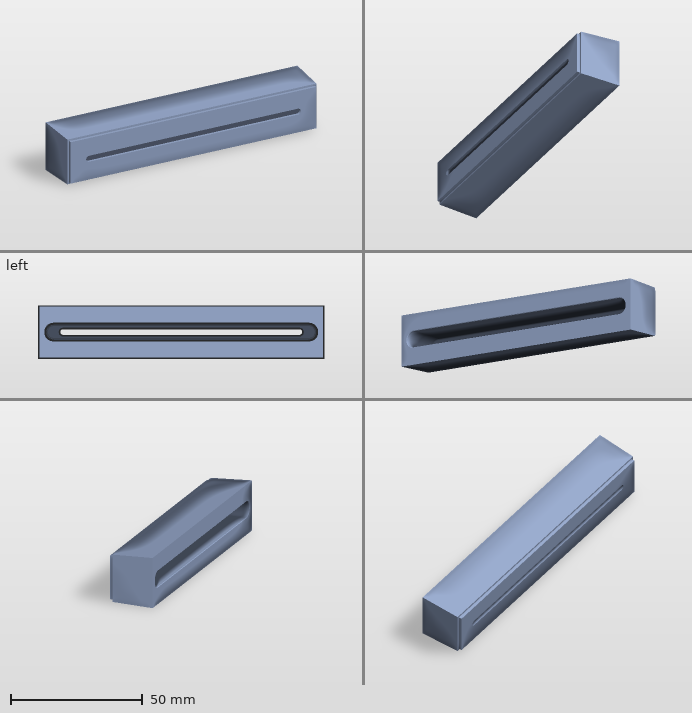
import cadquery as cq

length = 108.1
height = 19.9
total_depth = 17.7
lip_depth = 1.3
lip_length = 105.4
lip_height = 17.3
body_draft_angle = 2.0

pocket_length = 103.0
pocket_height = 6.3
pocket_draft_angle = 0.5
pocket_floor_fillet = 0.5
through_slot_length = 92.1
through_slot_height = 2.5
mouth_bevel = 0.2
bevel_angle = 45.0

body_depth = total_depth - lip_depth
pocket_depth = body_depth


def plane_at(x):
    """Plane whose local x runs along Y, local y along Z and normal along +X."""
    return cq.Workplane("YZ", origin=(x, 0, 0))


def make_body():
    """Bar tapering toward +X, with a smaller straight lip on its back."""
    bar = plane_at(0).rect(length, height).extrude(body_depth, taper=body_draft_angle)
    lip = plane_at(body_depth).rect(lip_length, lip_height).extrude(lip_depth)
    return bar.union(lip)


def make_mouth_bevel(start, slot_length, slot_height):
    """Cutter that bevels the rim of a round-ended slot opening at x = start."""
    rim = plane_at(start).slot2D(slot_length + 2 * mouth_bevel, slot_height + 2 * mouth_bevel)
    return rim.extrude(mouth_bevel, taper=bevel_angle)


def make_pocket():
    """Slightly drafted pocket with a filleted floor edge and a bevelled rim."""
    walls = plane_at(0).slot2D(pocket_length, pocket_height).extrude(pocket_depth, taper=pocket_draft_angle)
    walls = walls.faces(">X").edges().fillet(pocket_floor_fillet)
    return walls.union(make_mouth_bevel(0, pocket_length, pocket_height))


def make_through_slot():
    """Straight slot through the pocket floor, bevelled where it leaves the floor."""
    slot = plane_at(pocket_depth).slot2D(through_slot_length, through_slot_height).extrude(lip_depth)
    return slot.union(make_mouth_bevel(pocket_depth, through_slot_length, through_slot_height))


result = make_body().cut(make_pocket()).cut(make_through_slot())